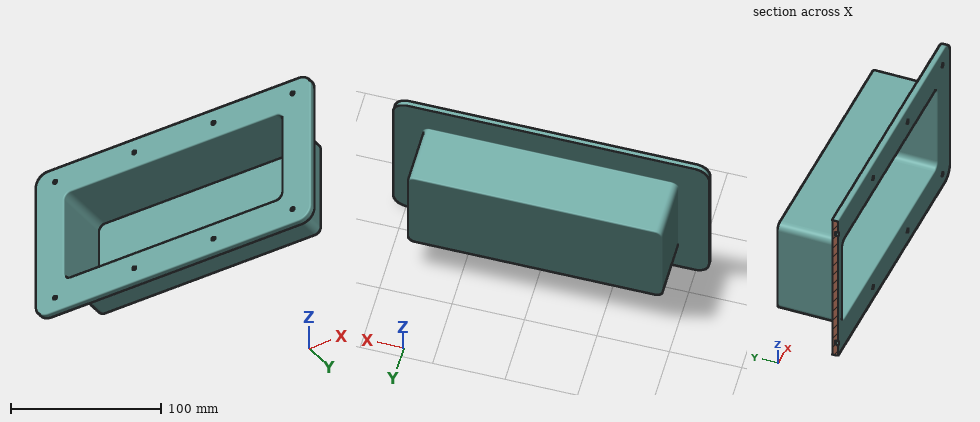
import cadquery as cq

flange_length = 218.0
flange_height = 118.0
flange_thickness = 4.5
flange_corner_radius = 10.0
flange_edge_radius = 1.0

total_depth = 46.2
box_length = 176.0
box_height = 74.0
box_corner_radius = 5.0
box_back_radius = 1.0
foot_radius = 0.7
wall_thickness = 2.0
floor_thickness = 3.0
mouth_radius = 1.0

hole_diameter = 2.8
holes_per_row = 4
hole_pitch = 62.5
row_spacing = 95.3
hole_shift = 0.7
hole_depth = 2.2


def rounded_block(length, height, corner_radius, y_start, y_end):
    """Block along +Y whose four long edges are rounded."""
    return (
        cq.Workplane("XZ", origin=(0, y_start, 0))
        .rect(length, height)
        .extrude(y_start - y_end)
        .edges("|Y")
        .fillet(corner_radius)
    )


flange = rounded_block(flange_length, flange_height, flange_corner_radius, 0, flange_thickness)
flange = flange.faces("<Y").edges().fillet(flange_edge_radius)

box = rounded_block(box_length, box_height, box_corner_radius, 0, total_depth)
box = box.faces(">Y").edges().fillet(box_back_radius)

body = flange.union(box)
joint_limits = cq.selectors.BoxSelector(
    (-(box_length + foot_radius) / 2, flange_thickness - foot_radius, -(box_height + foot_radius) / 2),
    ((box_length + foot_radius) / 2, flange_thickness + foot_radius, (box_height + foot_radius) / 2),
)
body = body.edges(joint_limits).fillet(foot_radius)

cavity_length = box_length - 2 * wall_thickness
cavity_height = box_height - 2 * wall_thickness
cavity = rounded_block(
    cavity_length, cavity_height, box_corner_radius, 0, total_depth - floor_thickness
)

body = body.cut(cavity)

mouth_limits = cq.selectors.BoxSelector(
    (-box_length / 2, -wall_thickness / 2, -box_height / 2),
    (box_length / 2, wall_thickness / 2, box_height / 2),
)
body = body.edges(mouth_limits).fillet(mouth_radius)

holes = (
    cq.Workplane("XZ", origin=(hole_shift, 0, 0))
    .rarray(hole_pitch, row_spacing, holes_per_row, 2)
    .circle(hole_diameter / 2)
    .extrude(-hole_depth)
)

result = body.cut(holes)